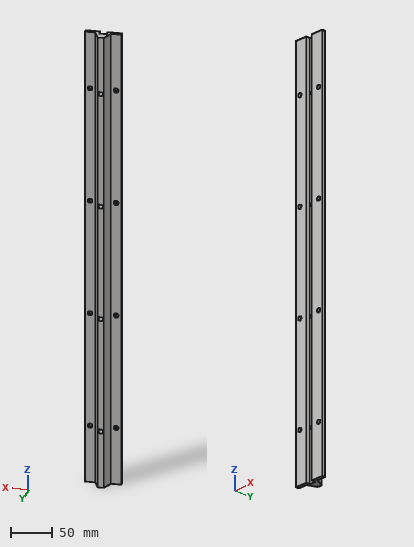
import cadquery as cq

LENGTH = 599.5
WIDTH = 45.0
DEPTH = 18.5

FLANGE_THICKNESS = 5.0
RIB_BASE_WIDTH = 19.0
RIB_TOP_WIDTH = 8.0
CROWN_HEIGHT = 0.5
SLOT_WIDTH = 9.0
SLOT_DEPTH = 6.0

HOLE_DIAMETER = 5.5
HOLE_ROWS = 4
HOLE_OFFSET = 16.0

FRONT = -DEPTH / 2
BACK = DEPTH / 2
FLANGE_BACK = FRONT + FLANGE_THICKNESS
BOTTOM = -LENGTH / 2


def make_rail():
    """Extrude the symmetric cross-section along Z."""
    right_half = [
        (SLOT_WIDTH / 2, FRONT + SLOT_DEPTH),
        (SLOT_WIDTH / 2, FRONT),
        (WIDTH / 2, FRONT),
        (WIDTH / 2, FLANGE_BACK),
        (RIB_BASE_WIDTH / 2, FLANGE_BACK),
        (RIB_TOP_WIDTH / 2, BACK - CROWN_HEIGHT),
    ]
    left_half = [(-x, y) for x, y in reversed(right_half)]
    return (
        cq.Workplane("XY", origin=(0, 0, BOTTOM))
        .polyline(right_half)
        .threePointArc((0, BACK), left_half[0])
        .polyline(left_half[1:], includeCurrent=True)
        .close()
        .extrude(LENGTH)
    )


def make_holes():
    """Cylinders along Y: one through each flange and one through the rib, per row."""
    row_pitch = LENGTH / HOLE_ROWS
    centers = [
        (x, BOTTOM + row_pitch / 2 + row * row_pitch)
        for row in range(HOLE_ROWS)
        for x in (-HOLE_OFFSET, 0, HOLE_OFFSET)
    ]
    return (
        cq.Workplane("XZ", origin=(0, BACK, 0))
        .pushPoints(centers)
        .circle(HOLE_DIAMETER / 2)
        .extrude(DEPTH)
    )


result = make_rail().cut(make_holes())